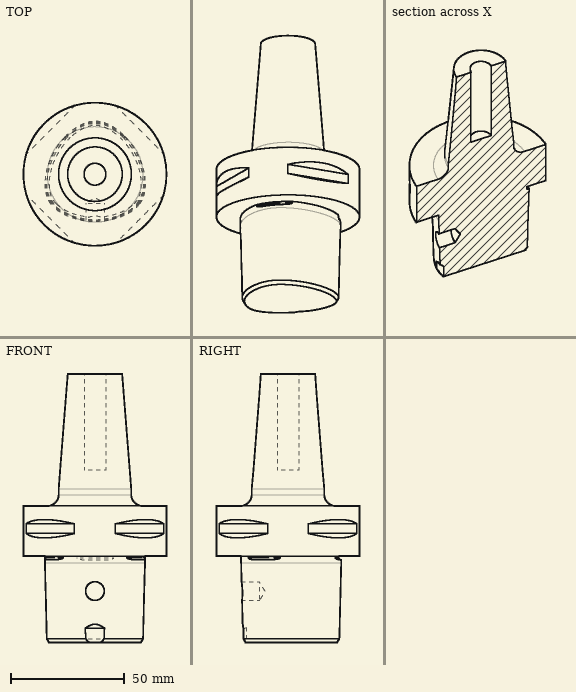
import cadquery as cq
import math

SHANK_LENGTH = 38.0
FLANGE_HEIGHT = 22.0
NOSE_LENGTH = 58.0
NOSE_TOP = FLANGE_HEIGHT + NOSE_LENGTH

FLANGE_RADIUS = 63.0 / 2

NOSE_TIP_RADIUS = 24.0 / 2
NOSE_BASE_RADIUS = 32.0 / 2
NOSE_FILLET = 5.0
NOSE_COLLAR_HEIGHT = 2.5
BORE_RADIUS = 9.6 / 2
BORE_DEPTH = 42.0

SHANK_MEAN_RADIUS = 22.05
LOBE_ECCENTRICITY = 1.4
LOBE_COUNT = 3
LOBE_ANGLE = math.radians(90)
SHANK_TAPER = 1 / 40
NECK_HEIGHT = 3.0
END_CHAMFER_HEIGHT = 1.7
END_CHAMFER_WIDTH = 1.0
OUTLINE_POINTS = 72

RELIEF_RADIUS = 22.3
RELIEF_HEIGHT = 1.7
RELIEF_FILLET = 1.0
RELIEF_OUTER_RADIUS = SHANK_MEAN_RADIUS + 2 * LOBE_ECCENTRICITY

GROOVE_COUNT = 4
GROOVE_FIRST_ANGLE = 45.0
GROOVE_FLOOR_DISTANCE = 27.7
GROOVE_FLOOR_WIDTH = 4.2
GROOVE_WALL_ANGLE = math.radians(27)
GROOVE_MID_HEIGHT = 12.0

SIDE_HOLE_RADIUS = 8.2 / 2
SIDE_HOLE_Z = -15.4
SIDE_HOLE_DEPTH = 8.0
DRILL_HALF_ANGLE = math.radians(59)

KEYWAY_RADIUS = 7.0
KEYWAY_AXIS_Y = -25.25
KEYWAY_SHOULDER_Z = -31.7
KEYWAY_HALF_ANGLE = math.radians(45)


def lobed_point(mean_radius, angle):
    """Point of a constant-width three-lobed curve whose normal points along angle."""
    phase = LOBE_COUNT * (angle - LOBE_ANGLE)
    support = mean_radius + LOBE_ECCENTRICITY * math.cos(phase)
    slope = -LOBE_COUNT * LOBE_ECCENTRICITY * math.sin(phase)
    x = support * math.cos(angle) - slope * math.sin(angle)
    y = support * math.sin(angle) + slope * math.cos(angle)
    return x, y


def lobed_wire(mean_radius, z):
    step = 2 * math.pi / OUTLINE_POINTS
    points = []
    for i in range(OUTLINE_POINTS):
        x, y = lobed_point(mean_radius, i * step - math.pi / 2)
        points.append(cq.Vector(x, y, z))
    return cq.Wire.assembleEdges([cq.Edge.makeSpline(points, periodic=True)])


def shank():
    chamfer_z = END_CHAMFER_HEIGHT - SHANK_LENGTH
    taper_length = -NECK_HEIGHT - chamfer_z
    small_radius = SHANK_MEAN_RADIUS - SHANK_TAPER * taper_length
    sections = [
        lobed_wire(small_radius - END_CHAMFER_WIDTH, -SHANK_LENGTH),
        lobed_wire(small_radius, chamfer_z),
        lobed_wire(SHANK_MEAN_RADIUS, -NECK_HEIGHT),
        lobed_wire(SHANK_MEAN_RADIUS, 0),
    ]
    return cq.Workplane(obj=cq.Solid.makeLoft(sections, True))


def lobe_relief():
    """Ring that trims the tips of the lobes under the flange, leaving a concave fillet."""
    arc_offset = RELIEF_FILLET * (1 - math.sqrt(0.5))
    profile = (
        cq.Workplane("XZ")
        .moveTo(RELIEF_RADIUS, 0)
        .lineTo(RELIEF_RADIUS, RELIEF_FILLET - RELIEF_HEIGHT)
        .threePointArc(
            (RELIEF_RADIUS + arc_offset, arc_offset - RELIEF_HEIGHT),
            (RELIEF_RADIUS + RELIEF_FILLET, -RELIEF_HEIGHT),
        )
        .lineTo(RELIEF_OUTER_RADIUS, -RELIEF_HEIGHT)
        .lineTo(RELIEF_OUTER_RADIUS, 0)
        .close()
    )
    return profile.revolve(360, (0, 0, 0), (0, 1, 0))


def flange_and_nose():
    fillet_top = FLANGE_HEIGHT + NOSE_FILLET
    fillet_centre_r = NOSE_BASE_RADIUS + NOSE_FILLET
    arc_offset = NOSE_FILLET * math.sqrt(0.5)
    profile = (
        cq.Workplane("XZ")
        .moveTo(0, 0)
        .lineTo(FLANGE_RADIUS, 0)
        .lineTo(FLANGE_RADIUS, FLANGE_HEIGHT)
        .lineTo(fillet_centre_r, FLANGE_HEIGHT)
        .threePointArc(
            (fillet_centre_r - arc_offset, fillet_top - arc_offset),
            (NOSE_BASE_RADIUS, fillet_top),
        )
        .lineTo(NOSE_BASE_RADIUS, fillet_top + NOSE_COLLAR_HEIGHT)
        .lineTo(NOSE_TIP_RADIUS, NOSE_TOP)
        .lineTo(0, NOSE_TOP)
        .close()
    )
    return profile.revolve(360, (0, 0, 0), (0, 1, 0))


def bore():
    return cq.Workplane("XY", origin=(0, 0, NOSE_TOP - BORE_DEPTH)).circle(BORE_RADIUS).extrude(BORE_DEPTH)


def gripper_groove(angle):
    """Straight groove with a flat floor and flared walls, cut across the rim at the given angle."""
    depth = FLANGE_RADIUS - GROOVE_FLOOR_DISTANCE
    half_floor = GROOVE_FLOOR_WIDTH / 2
    half_mouth = half_floor + depth * math.tan(GROOVE_WALL_ANGLE)
    profile = cq.Workplane("XZ").polyline([
        (GROOVE_FLOOR_DISTANCE, GROOVE_MID_HEIGHT - half_floor),
        (FLANGE_RADIUS, GROOVE_MID_HEIGHT - half_mouth),
        (FLANGE_RADIUS, GROOVE_MID_HEIGHT + half_mouth),
        (GROOVE_FLOOR_DISTANCE, GROOVE_MID_HEIGHT + half_floor),
    ])
    groove = profile.close().extrude(FLANGE_RADIUS, both=True)
    return groove.rotate((0, 0, 0), (0, 0, 1), angle)


def pointed_cylinder(radius, length, half_angle):
    """Cylinder rising from the origin along +Z, ending in a cone of the given half angle."""
    profile = cq.Workplane("XZ").polyline([
        (0, 0),
        (radius, 0),
        (radius, length),
        (0, length + radius / math.tan(half_angle)),
    ])
    return profile.close().revolve(360, (0, 0, 0), (0, 1, 0))


def side_hole():
    flat_y = LOBE_ECCENTRICITY - SHANK_MEAN_RADIUS
    upright = pointed_cylinder(SIDE_HOLE_RADIUS, SIDE_HOLE_DEPTH, DRILL_HALF_ANGLE)
    pointing_inward = upright.rotate((0, 0, 0), (1, 0, 0), -90)
    return pointing_inward.translate((0, flat_y, SIDE_HOLE_Z))


def keyway():
    length = KEYWAY_SHOULDER_Z + SHANK_LENGTH
    cutter = pointed_cylinder(KEYWAY_RADIUS, length, KEYWAY_HALF_ANGLE)
    return cutter.translate((0, KEYWAY_AXIS_Y, -SHANK_LENGTH))


result = shank().cut(lobe_relief()).union(flange_and_nose())
result = result.cut(bore()).cut(side_hole()).cut(keyway())
for i in range(GROOVE_COUNT):
    result = result.cut(gripper_groove(GROOVE_FIRST_ANGLE + i * 360 / GROOVE_COUNT))